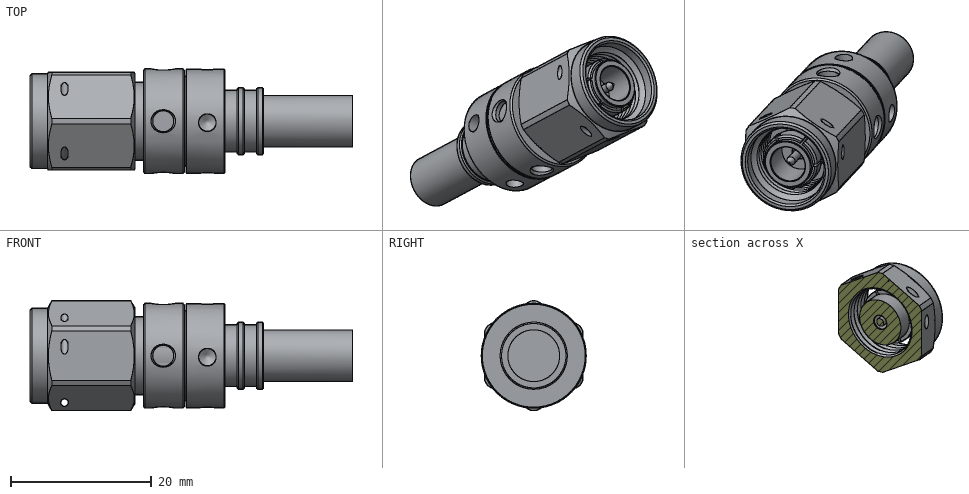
import cadquery as cq
import math

TOTAL_LENGTH = 46.1

NOSE_RADIUS = 6.8
NOSE_CHAMFER = 0.3
HEX_START = 2.5
HEX_END = 15.05
HEX_FLAT_RADIUS = 7.0
HEX_CORNER_RADIUS = 7.855
HEX_END_RADIUS = 6.75
HEX_TAPER = (HEX_CORNER_RADIUS - HEX_END_RADIUS) * math.tan(math.radians(30))

WIRE_HOLE_DIAMETER = 1.05
WIRE_HOLE_X = 4.95
WIRE_HOLE_OFFSET = 6.7
WIRE_HOLE_LENGTH = 12.0

MOUTH_RADIUS = 5.78
MOUTH_CHAMFER = 0.27
MOUTH_DEPTH = 1.75
NUT_BORE_DEPTH = 8.0

THREAD_CREST_RADIUS = 5.08
THREAD_ROOT_RADIUS = 5.5
THREAD_LEAD_IN_RADIUS = 5.36
THREAD_PITCH = 0.907
THREAD_LEAD_IN_FLANK = 0.2
THREAD_GROOVES = 5

SLEEVE_RADIUS = 3.5
SLEEVE_CHAMFER = 0.12
SLEEVE_BORE_RADIUS = 2.57
SLEEVE_BORE_CHAMFER = 0.1
SLEEVE_FACE_X = 1.1
SLEEVE_BORE_DEPTH = 5.0
SLEEVE_FLOOR_X = SLEEVE_FACE_X + SLEEVE_BORE_DEPTH
SPRING_FACE_RADIUS = 3.8
SPRING_RADIUS = 4.07
SPRING_START = 1.9
SPRING_TAPER_END = 2.2
SPRING_END = 4.0
SLIT_COUNT = 6
SLIT_WIDTH = 0.35

PIN_RADIUS = 0.62
PIN_TIP_X = 1.6
PIN_TIP_RADIUS = 0.15
PIN_TAPER_LENGTH = 0.9
PIN_RECESS_RADIUS = 1.06
PIN_RECESS_DEPTH = 0.3

NECK_RADIUS = 5.6
FRONT_RING_RADIUS = 7.5
FRONT_RING_START = 16.2
FRONT_RING_END = 22.1
FRONT_RING_CHAMFER = 0.25
GROOVE_RADIUS = 6.45
REAR_RING_RADIUS = 7.45
REAR_RING_START = 22.3
REAR_RING_END = 27.85
REAR_RING_CHAMFER = 0.1
FERRULE_RADIUS = 4.43
FERRULE_END = 33.4
RIB_RADIUS = 4.8
RIB_WIDTH = 1.05
RIB_CHAMFER = 0.2
RIB_STARTS = (29.6, FERRULE_END - RIB_WIDTH)
TUBE_RADIUS = 3.7

QUARTER_TURNS = (0, 90, 180, 270)
FRONT_HOLE_X = 19.05
FRONT_HOLE_RADIUS = 1.5
FRONT_HOLE_CHAMFER = 0.25
FRONT_HOLE_CHAMFER_DEPTH = 0.45
FRONT_HOLE_FLOOR = 6.1
STEP_HALF_WIDTH = 1.04
STEP_FLOOR = math.sqrt(GROOVE_RADIUS**2 - STEP_HALF_WIDTH**2)
REAR_HOLE_X = 25.35
REAR_HOLE_RADIUS = 1.25
REAR_HOLE_FLOOR = 5.5
REAR_HOLE_TWIST = 1.8
DRILL_POINT_HALF_ANGLE = 59
TOOL_OVERRUN = 1.0


def disc(radius, start, end):
    """Solid cylinder on the X axis."""
    return cq.Workplane("YZ", origin=(start, 0, 0)).circle(radius).extrude(end - start)


def turned(points):
    """Solid of revolution about X; the (x, radius) outline is closed along the axis."""
    outline = [(points[0][0], 0), *points, (points[-1][0], 0)]
    return cq.Workplane("XY").polyline(outline).close().revolve(360, (0, 0, 0), (1, 0, 0))


def chamfered_disc(radius, start, end, chamfer):
    return disc(radius, start, end).edges().chamfer(chamfer)


def nut_blank():
    hexagon = (
        cq.Workplane("YZ", origin=(HEX_START, 0, 0))
        .transformed(rotate=(0, 0, 90))
        .polygon(6, 2 * HEX_FLAT_RADIUS / math.cos(math.radians(30)))
        .extrude(HEX_END - HEX_START)
    )
    turning = turned(
        [
            (HEX_START, HEX_END_RADIUS),
            (HEX_START + HEX_TAPER, HEX_CORNER_RADIUS),
            (HEX_END - HEX_TAPER, HEX_CORNER_RADIUS),
            (HEX_END, HEX_END_RADIUS),
        ]
    )
    nose = disc(NOSE_RADIUS, 0, HEX_START).faces("<X").chamfer(NOSE_CHAMFER)
    return nose.union(hexagon.intersect(turning))


def nut_mouth():
    lead_in_end = MOUTH_DEPTH + MOUTH_RADIUS - THREAD_LEAD_IN_RADIUS
    thread_start = lead_in_end + THREAD_LEAD_IN_FLANK
    outline = [
        (0, MOUTH_RADIUS + MOUTH_CHAMFER),
        (MOUTH_CHAMFER, MOUTH_RADIUS),
        (MOUTH_DEPTH, MOUTH_RADIUS),
        (lead_in_end, THREAD_LEAD_IN_RADIUS),
        (thread_start, THREAD_CREST_RADIUS),
    ]
    for index in range(THREAD_GROOVES):
        groove_start = thread_start + index * THREAD_PITCH
        outline.append((groove_start + THREAD_PITCH / 2, THREAD_ROOT_RADIUS))
        outline.append((groove_start + THREAD_PITCH, THREAD_CREST_RADIUS))
    outline.append((NUT_BORE_DEPTH, THREAD_CREST_RADIUS))
    return turned(outline)


def wire_holes():
    """Three chord holes, one across every second hexagon corner."""
    hole = (
        cq.Workplane("XZ", origin=(WIRE_HOLE_X, WIRE_HOLE_LENGTH / 2, -WIRE_HOLE_OFFSET))
        .circle(WIRE_HOLE_DIAMETER / 2)
        .extrude(WIRE_HOLE_LENGTH)
    )
    holes = hole
    for angle in (120, 240):
        holes = holes.union(hole.rotate((0, 0, 0), (1, 0, 0), angle))
    return holes


def spring_ring():
    """Tapered ring round the sleeve, split into fingers down to the sleeve surface."""
    ring = turned(
        [
            (SPRING_START, SPRING_FACE_RADIUS),
            (SPRING_TAPER_END, SPRING_RADIUS),
            (SPRING_END, SPRING_RADIUS),
        ]
    )
    slit = cq.Workplane("XY").box(
        SPRING_END - SPRING_START, SPRING_RADIUS, SLIT_WIDTH, centered=(False, False, True)
    )
    slit = slit.translate((SPRING_START, 0, 0))
    for index in range(SLIT_COUNT):
        ring = ring.cut(slit.rotate((0, 0, 0), (1, 0, 0), index * 360 / SLIT_COUNT))
    return ring


def contact_sleeve():
    sleeve = disc(SLEEVE_RADIUS, SLEEVE_FACE_X, NUT_BORE_DEPTH).faces("<X").chamfer(SLEEVE_CHAMFER)
    return sleeve.union(spring_ring())


def sleeve_bore():
    """Chamfered bore with the shallow pin recess in its floor."""
    bore = turned(
        [
            (SLEEVE_FACE_X, SLEEVE_BORE_RADIUS + SLEEVE_BORE_CHAMFER),
            (SLEEVE_FACE_X + SLEEVE_BORE_CHAMFER, SLEEVE_BORE_RADIUS),
            (SLEEVE_FLOOR_X, SLEEVE_BORE_RADIUS),
        ]
    )
    return bore.union(disc(PIN_RECESS_RADIUS, SLEEVE_FLOOR_X, SLEEVE_FLOOR_X + PIN_RECESS_DEPTH))


def centre_pin():
    return turned(
        [
            (PIN_TIP_X, PIN_TIP_RADIUS),
            (PIN_TIP_X + PIN_TAPER_LENGTH, PIN_RADIUS),
            (SLEEVE_FLOOR_X + PIN_RECESS_DEPTH, PIN_RADIUS),
        ]
    )


def rear_body():
    body = disc(NECK_RADIUS, HEX_END, FRONT_RING_START)
    body = body.union(chamfered_disc(FRONT_RING_RADIUS, FRONT_RING_START, FRONT_RING_END, FRONT_RING_CHAMFER))
    body = body.union(disc(GROOVE_RADIUS, FRONT_RING_END, REAR_RING_START))
    body = body.union(chamfered_disc(REAR_RING_RADIUS, REAR_RING_START, REAR_RING_END, REAR_RING_CHAMFER))
    body = body.union(disc(FERRULE_RADIUS, REAR_RING_END, FERRULE_END))
    for start in RIB_STARTS:
        body = body.union(chamfered_disc(RIB_RADIUS, start, start + RIB_WIDTH, RIB_CHAMFER))
    return body.union(disc(TUBE_RADIUS, FERRULE_END, TOTAL_LENGTH))


def radial_tool(x, outline):
    """Tool turned about the +Z direction at x from a (radius, height) outline."""
    profile = cq.Workplane("XZ").polyline(outline).close()
    return profile.revolve(360, (0, 0, 0), (0, 1, 0)).translate((x, 0, 0))


def front_hole(floor):
    rim = FRONT_HOLE_RADIUS + FRONT_HOLE_CHAMFER
    return radial_tool(
        FRONT_HOLE_X,
        [
            (0, floor),
            (FRONT_HOLE_RADIUS, floor),
            (FRONT_HOLE_RADIUS, FRONT_RING_RADIUS - FRONT_HOLE_CHAMFER_DEPTH),
            (rim, FRONT_RING_RADIUS),
            (rim, FRONT_RING_RADIUS + TOOL_OVERRUN),
            (0, FRONT_RING_RADIUS + TOOL_OVERRUN),
        ],
    )


def front_ring_holes():
    """Flat floors above and below; the side holes reach down beside a round core."""
    core = disc(GROOVE_RADIUS, FRONT_RING_START, FRONT_RING_END)
    upright = front_hole(FRONT_HOLE_FLOOR)
    sideways = front_hole(STEP_FLOOR).cut(core)
    holes = cq.Workplane("XY")
    for angle in QUARTER_TURNS:
        tool = upright if angle % 180 == 0 else sideways
        holes = holes.add(tool.rotate((0, 0, 0), (1, 0, 0), angle))
    return holes.combine()


def rear_ring_holes():
    point_length = REAR_HOLE_RADIUS / math.tan(math.radians(DRILL_POINT_HALF_ANGLE))
    tool = radial_tool(
        REAR_HOLE_X,
        [
            (0, REAR_HOLE_FLOOR - point_length),
            (REAR_HOLE_RADIUS, REAR_HOLE_FLOOR),
            (REAR_HOLE_RADIUS, REAR_RING_RADIUS + TOOL_OVERRUN),
            (0, REAR_RING_RADIUS + TOOL_OVERRUN),
        ],
    )
    holes = cq.Workplane("XY")
    for angle in QUARTER_TURNS:
        holes = holes.add(tool.rotate((0, 0, 0), (1, 0, 0), angle + REAR_HOLE_TWIST))
    return holes.combine()


nut = nut_blank().cut(nut_mouth()).cut(wire_holes())
socket = nut.union(contact_sleeve()).cut(sleeve_bore()).union(centre_pin())
body = rear_body().cut(front_ring_holes()).cut(rear_ring_holes())
result = socket.union(body)